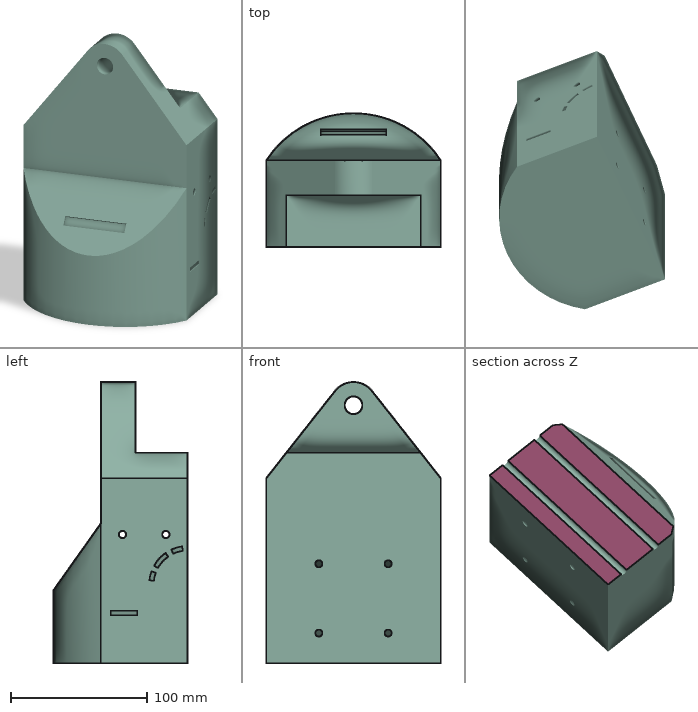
import cadquery as cq
import math

width = 128.3
block_depth = 63.7
total_depth = 98.5
total_height = 207.0
shoulder_height = 136.2
step_height = 155.0
half_width = width / 2
middle_y = -block_depth / 2

lug_thickness = 25.7
lug_hole_diameter = 12.8
lug_hole_height = 189.8
lug_radius = total_height - lug_hole_height

bulge = total_depth - block_depth
bulge_radius = (half_width**2 + bulge**2) / (2 * bulge)
slope_top_height = 102.9
slope_bottom_height = 53.8
slope_steepness = (slope_top_height - slope_bottom_height) / bulge
slope_angle = math.degrees(math.atan(slope_steepness))

end_wall = 10.0

pin_diameter = 5.2
front_hole_spacing = 51.0
front_hole_middle_height = 47.8
side_hole_spacing = block_depth / 2
side_hole_height = 94.8

side_mark_depth = 1.0
side_mark_width = 3.3
side_mark_length = 19.5
side_mark_y = -17.2
side_mark_height = 37.0
slope_mark_length = 48.0
slope_mark_width = 7.2
slope_mark_depth = 1.7
slope_mark_y = 21.0

dash_arc_radius = 26.5
dash_arc_height = 58.2
dash_angles = [(6, 20), (29, 55), (65, 82)]


def block_with_lug():
    """Block whose shoulders run tangent into the round lug end, stepped at the front."""
    shoulder_drop = lug_hole_height - shoulder_height
    shoulder_distance = math.hypot(half_width, shoulder_drop)
    tangent_angle = math.acos(lug_radius / shoulder_distance) - math.atan2(shoulder_drop, half_width)
    tangent_x = lug_radius * math.cos(tangent_angle)
    tangent_z = lug_hole_height + lug_radius * math.sin(tangent_angle)
    block = (
        cq.Workplane("XZ")
        .moveTo(-half_width, 0)
        .lineTo(half_width, 0)
        .lineTo(half_width, shoulder_height)
        .lineTo(tangent_x, tangent_z)
        .threePointArc((0, total_height), (-tangent_x, tangent_z))
        .lineTo(-half_width, shoulder_height)
        .close()
        .extrude(block_depth)
    )
    step = cq.Workplane("XY").box(
        width, block_depth - lug_thickness, total_height - step_height, centered=(True, False, False)
    )
    step = step.translate((0, -block_depth, step_height))
    lug_hole = cq.Workplane("XZ").center(0, lug_hole_height).circle(lug_hole_diameter / 2)
    return block.cut(step).cut(lug_hole.extrude(block_depth))


def rounded_back(inset):
    """Round segment with a sloped top; inset moves every face except the flat one at Y = 0 inward."""
    radius = bulge_radius - inset
    depth = bulge - inset
    chord = math.sqrt(radius**2 - (radius - depth) ** 2)
    drop = inset / math.cos(math.radians(slope_angle))
    top = slope_top_height - drop
    segment = (
        cq.Workplane("XY")
        .workplane(offset=inset)
        .moveTo(-chord, 0)
        .threePointArc((0, depth), (chord, 0))
        .close()
        .extrude(top - inset)
    )
    under_slope = (
        cq.Workplane("YZ")
        .polyline([(0, 0), (depth, 0), (depth, top - depth * slope_steepness), (0, top)])
        .close()
        .extrude(half_width, both=True)
    )
    return segment.intersect(under_slope)


def front_holes():
    """Square of four blind holes from the front face, which stop short of the rounded back's faces."""
    holes = (
        cq.Workplane("XZ", origin=(0, 0, front_hole_middle_height))
        .rarray(front_hole_spacing, front_hole_spacing, 2, 2)
        .circle(pin_diameter / 2)
        .extrude(block_depth, both=True)
    )
    block_space = cq.Workplane("XY").box(width, block_depth, shoulder_height, centered=(True, False, False))
    return holes.intersect(block_space.translate((0, -block_depth, 0)).union(rounded_back(end_wall)))


def side_holes():
    """Pair of holes through the whole width."""
    return (
        cq.Workplane("YZ", origin=(0, middle_y, side_hole_height))
        .rarray(side_hole_spacing, 2, 2, 1)
        .circle(pin_diameter / 2)
        .extrude(half_width, both=True)
    )


def side_marks():
    """Straight mark and dashed quarter arc, sunk into the left side."""
    side = cq.Workplane("YZ", origin=(-half_width, 0, 0))
    straight_mark = side.center(side_mark_y, side_mark_height).rect(side_mark_length, side_mark_width)
    marks = straight_mark.extrude(side_mark_depth)
    for start, end in dash_angles:
        marks = marks.union(arc_dash(side, start, end))
    return marks


def arc_dash(side, start, end):
    """One dash of the arc, whose centre lies on the front edge of the side."""

    def arc_point(radius, angle):
        turn = math.radians(angle)
        return (-block_depth + radius * math.cos(turn), dash_arc_height + radius * math.sin(turn))

    inner = dash_arc_radius - side_mark_width / 2
    outer = dash_arc_radius + side_mark_width / 2
    middle = (start + end) / 2
    return (
        side.moveTo(*arc_point(inner, start))
        .lineTo(*arc_point(outer, start))
        .threePointArc(arc_point(outer, middle), arc_point(outer, end))
        .lineTo(*arc_point(inner, end))
        .threePointArc(arc_point(inner, middle), arc_point(inner, start))
        .close()
        .extrude(side_mark_depth)
    )


def slope_mark():
    """Wide mark sunk square into the slope."""
    height = slope_top_height - slope_mark_y * slope_steepness
    mark = cq.Workplane("XY").box(slope_mark_length, slope_mark_width, 2 * slope_mark_depth)
    return mark.rotate((0, 0, 0), (1, 0, 0), -slope_angle).translate((0, slope_mark_y, height))


result = (
    block_with_lug()
    .union(rounded_back(0))
    .cut(front_holes())
    .cut(side_holes())
    .cut(side_marks())
    .cut(slope_mark())
)